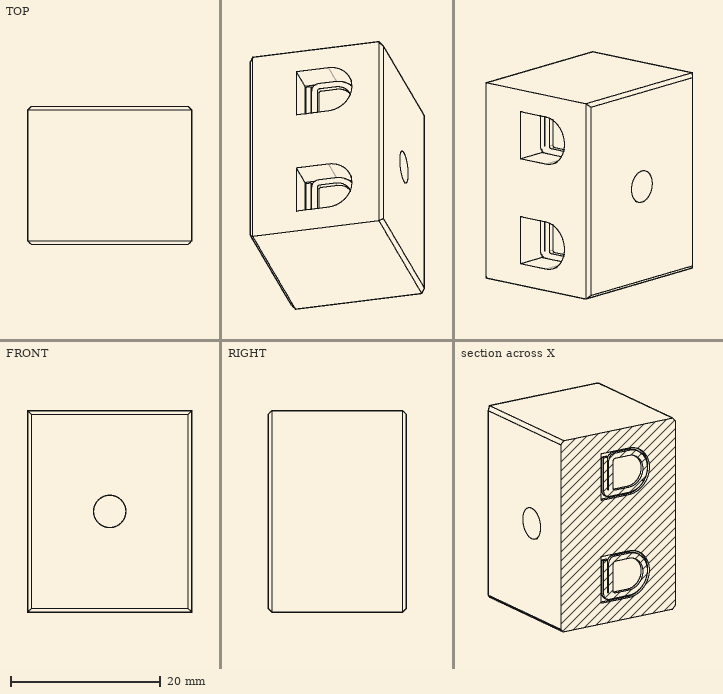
import cadquery as cq
import math

WIDTH = 22.0
DEPTH = 18.5
HEIGHT = 27.0
EDGE_CHAMFER = 0.5
MOUNT_HOLE_DIAMETER = 4.3

POCKET_SPACING = 14.5
POCKET_RADIUS = 3.25
POCKET_FLAT_Y = 2.7
POCKET_CENTRE_Y = -1.75
POCKET_DEPTH = 4.4

CLAMP_RECESS = 3.65
CLAMP_CLEARANCE = 0.25
CLAMP_FLAT_CLEARANCE = 0.35
SHEET = 0.8
TAIL_THICKNESS = 0.7
SEAM_GAP = 0.1
INNER_BEND = 0.3
OUTER_BEND = 0.95
SEAM_END = 0.2
TAIL_TOP_DROP = 0.34

CLAMP_RADIUS = POCKET_RADIUS - CLAMP_CLEARANCE
BORE_RADIUS = CLAMP_RADIUS - SHEET
TAIL_Y = POCKET_FLAT_Y - CLAMP_FLAT_CLEARANCE
SEAM_OUTER_Y = TAIL_Y - TAIL_THICKNESS
ROLL_Y = SEAM_OUTER_Y - SEAM_GAP
BORE_FLAT_Y = ROLL_Y - SHEET
CLAMP_LENGTH = POCKET_DEPTH - CLAMP_RECESS


def make_housing():
    """Block with its front and back faces chamfered and a mounting hole along Y."""
    block = cq.Workplane("XY").box(WIDTH, DEPTH, HEIGHT)
    block = block.faces("<Y or >Y").edges().chamfer(EDGE_CHAMFER)
    hole = cq.Workplane("XZ").circle(MOUNT_HOLE_DIAMETER / 2).extrude(DEPTH / 2, both=True)
    return block.cut(hole)


def d_prism(flat_y, radius, start_depth, end_depth):
    """D-shaped prism along X between two depths below the -X face."""
    return (
        cq.Workplane("YZ", origin=(start_depth - WIDTH / 2, 0, 0))
        .moveTo(flat_y, -radius)
        .lineTo(POCKET_CENTRE_Y, -radius)
        .threePointArc((POCKET_CENTRE_Y - radius, 0), (POCKET_CENTRE_Y, radius))
        .lineTo(flat_y, radius)
        .close()
        .extrude(end_depth - start_depth)
    )


def make_clamp():
    """Rolled sheet tube: an outer tail lies over the rolled-in end across a narrow seam."""
    bend_mid = OUTER_BEND * (1 - math.sqrt(0.5))
    seam_bottom = SEAM_END - BORE_RADIUS
    tail_top = CLAMP_RADIUS - TAIL_TOP_DROP
    body = (
        cq.Workplane("YZ", origin=(CLAMP_RECESS - WIDTH / 2, 0, 0))
        .moveTo(POCKET_CENTRE_Y, -CLAMP_RADIUS)
        .threePointArc((POCKET_CENTRE_Y - CLAMP_RADIUS, 0), (POCKET_CENTRE_Y, CLAMP_RADIUS))
        .lineTo(ROLL_Y - OUTER_BEND, CLAMP_RADIUS)
        .threePointArc(
            (ROLL_Y - bend_mid, CLAMP_RADIUS - bend_mid),
            (ROLL_Y, CLAMP_RADIUS - OUTER_BEND),
        )
        .lineTo(ROLL_Y, seam_bottom)
        .lineTo(SEAM_OUTER_Y, seam_bottom)
        .lineTo(SEAM_OUTER_Y, tail_top)
        .lineTo(TAIL_Y, tail_top)
        .lineTo(TAIL_Y, OUTER_BEND - CLAMP_RADIUS)
        .threePointArc(
            (TAIL_Y - bend_mid, bend_mid - CLAMP_RADIUS),
            (TAIL_Y - OUTER_BEND, -CLAMP_RADIUS),
        )
        .close()
        .extrude(CLAMP_LENGTH)
    )
    bore = d_prism(BORE_FLAT_Y, BORE_RADIUS, CLAMP_RECESS, POCKET_DEPTH)
    bore = bore.faces(">Y").edges("|X").fillet(INNER_BEND)
    return body.cut(bore)


pocket = d_prism(POCKET_FLAT_Y, POCKET_RADIUS, 0, POCKET_DEPTH)
pocket_void = pocket.cut(make_clamp())

result = make_housing()
for side in (-1, 1):
    result = result.cut(pocket_void.translate((0, 0, side * POCKET_SPACING / 2)))